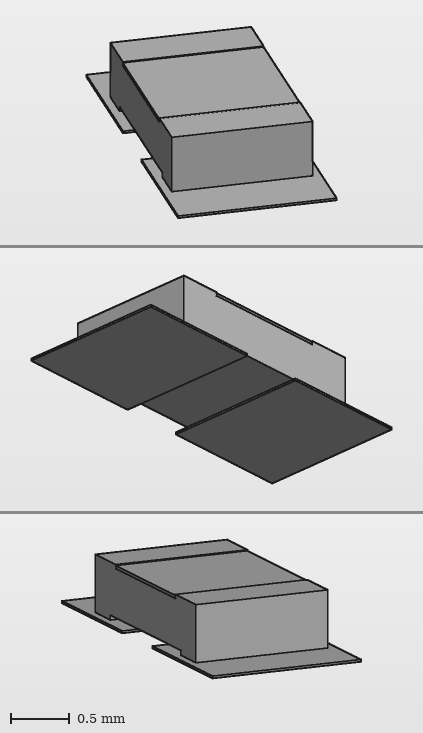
import cadquery as cq

overall_length = 3.0
pad_length = 1.2
pad_width = 1.4
pad_thickness = 0.02

overall_height = 0.53
chip_length = 2.01
chip_width = 1.245
foot_length = 0.305
foot_height = 0.042

coating_length = 1.19
coating_thickness = 0.027
coating_drop = 0.01

pad_offset = (overall_length - pad_length) / 2
chip_height = overall_height - pad_thickness
underside_gap_length = chip_length - 2 * foot_length
recess_depth = coating_thickness + coating_drop
recess_floor = overall_height - recess_depth


def block(length, width, height, bottom, x=0.0):
    """Box centred on y = 0, with its base at the given height."""
    return cq.Workplane("XY").box(length, width, height, centered=(True, True, False)).translate((x, 0, bottom))


def make_pad(side):
    """Thin pad at one end; side is -1 or 1 along X."""
    return block(pad_length, pad_width, pad_thickness, 0, side * pad_offset)


def make_chip():
    """Chip raised on two feet, with a full-width recess across its top."""
    chip = block(chip_length, chip_width, chip_height, pad_thickness)
    chip = chip.cut(block(underside_gap_length, chip_width, foot_height, pad_thickness))
    return chip.cut(block(coating_length, chip_width, recess_depth, recess_floor))


def make_coating():
    """Coating strip filling the recess to just below the chip's end tops."""
    return block(coating_length, chip_width, coating_thickness, recess_floor)


base = make_chip()
for side in (-1, 1):
    base = base.union(make_pad(side))

coating = make_coating()

result = cq.Compound.makeCompound([base.val(), coating.val()])